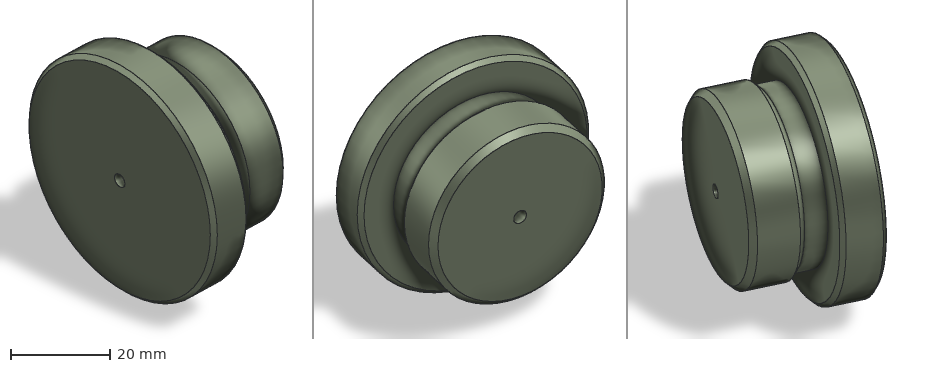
import cadquery as cq

flange_diameter = 55.0
flange_thickness = 10.0
flange_chamfer = 1.0
neck_diameter = 39.0
neck_length = 5.0
spigot_diameter = 41.77
total_length = 27.0
bore_diameter = 3.0

flange_radius = flange_diameter / 2
neck_radius = neck_diameter / 2
spigot_radius = spigot_diameter / 2
bore_radius = bore_diameter / 2
spigot_chamfer = spigot_radius - neck_radius
neck_end = flange_thickness + neck_length


def turned_body():
    """Flange, relief neck and chamfered spigot around a through bore, flange face at Y = 0."""
    half_section = (
        cq.Workplane("XY")
        .moveTo(bore_radius, 0)
        .lineTo(flange_radius - flange_chamfer, 0)
        .lineTo(flange_radius, flange_chamfer)
        .lineTo(flange_radius, flange_thickness - flange_chamfer)
        .lineTo(flange_radius - flange_chamfer, flange_thickness)
        .lineTo(neck_radius, flange_thickness)
        .lineTo(neck_radius, neck_end)
        .lineTo(spigot_radius, neck_end + spigot_chamfer)
        .lineTo(spigot_radius, total_length - spigot_chamfer)
        .lineTo(neck_radius, total_length)
        .lineTo(bore_radius, total_length)
        .close()
    )
    return half_section.revolve(360, (0, 0, 0), (0, 1, 0))


result = turned_body()